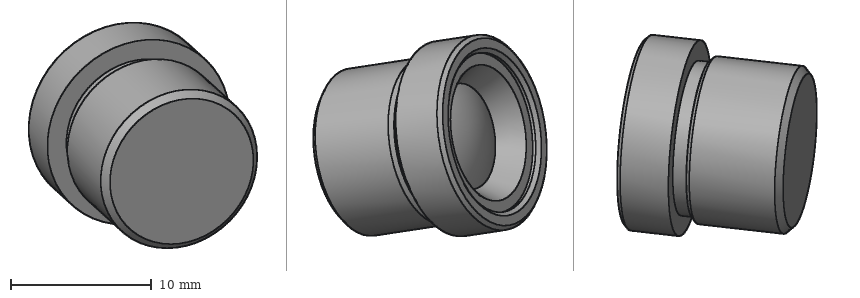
import cadquery as cq

length = 11.8
flange_length = 3.8
groove_end = 4.8
seat_depth = 0.55
cone_depth = 1.89
dome_height = 0.85

flange_radius = 7.0
groove_radius = 5.55
barrel_radius = 6.0
seat_radius = 5.71
cone_mouth_radius = 4.87
dome_edge_radius = 3.78

small_chamfer = 0.3
end_chamfer = 0.5

dome_edge_x = seat_depth + cone_depth
dome_top_x = dome_edge_x - dome_height
sphere_radius = (dome_edge_radius**2 + dome_height**2) / (2 * dome_height)
dome_mid_radius = dome_edge_radius / 2
dome_mid_x = dome_top_x + sphere_radius - (sphere_radius**2 - dome_mid_radius**2) ** 0.5

half_section = (
    cq.Workplane("XY")
    .moveTo(dome_top_x, 0)
    .threePointArc((dome_mid_x, dome_mid_radius), (dome_edge_x, dome_edge_radius))
    .lineTo(seat_depth, cone_mouth_radius)
    .lineTo(seat_depth, seat_radius)
    .lineTo(small_chamfer, seat_radius)
    .lineTo(0, seat_radius + small_chamfer)
    .lineTo(0, flange_radius - small_chamfer)
    .lineTo(small_chamfer, flange_radius)
    .lineTo(flange_length, flange_radius)
    .lineTo(flange_length, groove_radius)
    .lineTo(groove_end, groove_radius)
    .lineTo(groove_end, barrel_radius - small_chamfer)
    .lineTo(groove_end + small_chamfer, barrel_radius)
    .lineTo(length - end_chamfer, barrel_radius)
    .lineTo(length, barrel_radius - end_chamfer)
    .lineTo(length, 0)
    .close()
)

result = half_section.revolve(360, (0, 0, 0), (1, 0, 0))